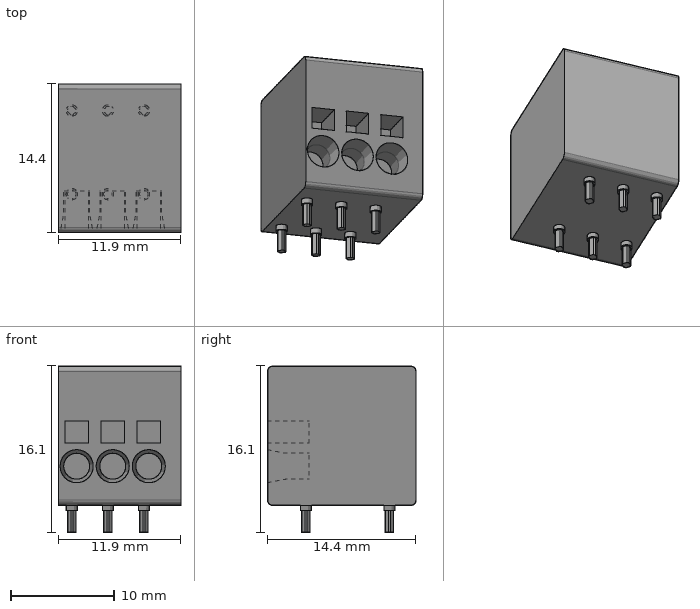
import cadquery as cq

housing_width = 11.9
housing_depth = 14.4
total_height = 16.1
edge_radius = 0.5

pole_count = 3
pole_pitch = 3.5
first_opening_x = 1.77

mouth_diameter = 3.2
bore_diameter = 2.51
mouth_depth = 1.8
wire_entry_depth = 4.02
wire_entry_z = 3.8

slot_width = 2.25
slot_height = 2.13
slot_depth = 4.02
slot_center_z = 7.12

first_pin_x = 1.3
front_row_y = 3.72
row_spacing = 8.1
collar_diameter = 1.1
collar_height = 0.52
pin_length = 2.61
shank_size = 0.72
shank_chamfer = 0.15

housing_height = total_height - pin_length


def pole_positions(first_x):
    """X position of each pole, counted from the first one."""
    return [first_x + index * pole_pitch for index in range(pole_count)]


def wire_entry(x):
    """Cutter for one wire entry, revolved about an axis along Y."""
    mouth_radius = mouth_diameter / 2
    bore_radius = bore_diameter / 2
    half_section = (
        cq.Workplane("XY")
        .polyline([
            (0, 0),
            (mouth_radius, 0),
            (bore_radius, mouth_depth),
            (bore_radius, wire_entry_depth),
            (0, wire_entry_depth),
        ])
        .close()
    )
    cutter = half_section.revolve(360, (0, 0, 0), (0, 1, 0))
    return cutter.translate((x, 0, wire_entry_z))


def release_slot(x):
    """Cutter for one rectangular blind slot in the front face."""
    cutter = cq.Workplane("XY").box(slot_width, slot_depth, slot_height, centered=(True, False, True))
    return cutter.translate((x, 0, slot_center_z))


def make_housing():
    """Block with its four long edges rounded and openings for every pole."""
    body = cq.Workplane("XY").box(housing_width, housing_depth, housing_height, centered=False)
    body = body.edges("|X").fillet(edge_radius)
    for x in pole_positions(first_opening_x):
        body = body.cut(wire_entry(x))
        body = body.cut(release_slot(x))
    return body


def make_pin(x, y):
    """Round collar against the housing with a diagonal, corner-chamfered square shank below it."""
    collar = cq.Workplane("XY").circle(collar_diameter / 2).extrude(-collar_height)
    shank = (
        cq.Workplane("XY")
        .rect(shank_size, shank_size)
        .extrude(-pin_length)
        .edges("|Z")
        .chamfer(shank_chamfer)
        .rotate((0, 0, 0), (0, 0, 1), 45)
    )
    return collar.union(shank).translate((x, y, 0))


housing = make_housing()

pins = []
for row_y in (front_row_y, front_row_y + row_spacing):
    for pin_x in pole_positions(first_pin_x):
        pins.append(make_pin(pin_x, row_y).val())

result = cq.Compound.makeCompound([housing.val(), *pins])